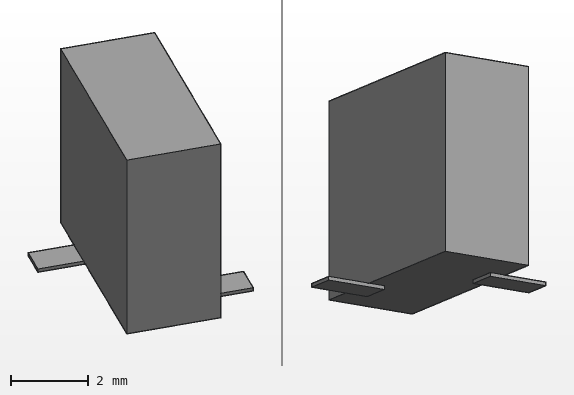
import cadquery as cq

housing_width = 5.58
housing_depth = 2.54
overall_height = 5.4
overall_depth = 5.0

lead_width = 0.82
lead_length = 1.69
lead_thickness = 0.1
lead_pitch = 2.535

housing_height = overall_height - lead_thickness


def make_housing():
    """Block whose underside rests on top of the leads."""
    return (
        cq.Workplane("XY")
        .workplane(offset=lead_thickness)
        .rect(housing_width, housing_depth)
        .extrude(housing_height)
    )


def make_lead(side):
    """Flat lead reaching out to +Y and offset to +X (side = 1), or both reversed (side = -1)."""
    center_x = side * lead_pitch / 2
    center_y = side * (overall_depth - lead_length) / 2
    return (
        cq.Workplane("XY")
        .center(center_x, center_y)
        .rect(lead_width, lead_length)
        .extrude(lead_thickness)
    )


housing = make_housing()
leads = [make_lead(side) for side in (-1, 1)]

result = cq.Compound.makeCompound([housing.val(), *[lead.val() for lead in leads]])